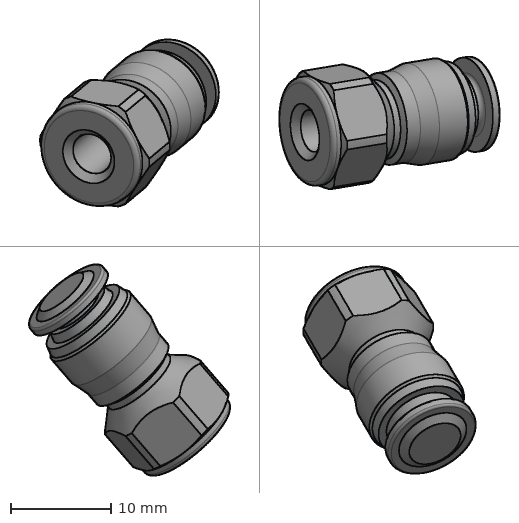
import cadquery as cq
import math

LENGTH = 20.4

ACROSS_FLATS = 11.0
FLAT_RADIUS = ACROSS_FLATS / 2
CORNER_RADIUS = 6.1
FLATS_UP_TURN = 30.0
COLLAR_LENGTH = 1.0
END_ROUND = 0.5
NUT_CHAMFER_ANGLE = 30.0
WAIST_START = 8.0
WAIST_RADIUS = 4.0
WAIST_END = 8.73

REAR_BAND_START = 9.1
REAR_BAND_END = 10.6
REAR_BAND_RADIUS = 4.65
BODY_START = 12.5
BODY_END = 15.79
BODY_RADIUS = 5.16
LIP_START = 16.05
LIP_START_RADIUS = 4.94
LIP_END = 17.0
LIP_END_RADIUS = 4.67
COLLET_SEAT_RADIUS = 3.81
COLLET_SEAT_END = 17.95
COLLET_SEAT_END_RADIUS = 3.53

BUTTON_NECK_RADIUS = 2.75
FLANGE_BACK = 18.93
FLANGE_FACE = 19.83
FLANGE_RADIUS = 4.77
FLANGE_ROUND = 0.25
NECK_FILLET = 0.49
NOSE_BASE_RADIUS = 3.67
NOSE_TIP_RADIUS = 2.8

BORE_MOUTH_RADIUS = 2.88
BORE_RADIUS = 2.12
BORE_CHAMFER_DEPTH = BORE_MOUTH_RADIUS - BORE_RADIUS
BORE_DEPTH = 8.0
PILOT_RADIUS = 1.5
PILOT_DEPTH = 10.0


def revolve_about_y(profile):
    return profile.close().revolve(360, (0, 0, 0), (0, 1, 0))


def make_turned_body():
    """Revolve the outside, with the nut still round at its corner radius."""
    corner_height = CORNER_RADIUS - FLAT_RADIUS
    chamfer_length = corner_height * math.tan(math.radians(NUT_CHAMFER_ANGLE))
    taper_start = WAIST_START - (CORNER_RADIUS - WAIST_RADIUS)
    round_middle = END_ROUND * (1 - math.sqrt(0.5))
    edge_middle = FLANGE_ROUND * (1 - math.sqrt(0.5))
    neck_middle = NECK_FILLET * (1 - math.sqrt(0.5))

    nut = (
        cq.Workplane("XY")
        .lineTo(FLAT_RADIUS - END_ROUND, 0)
        .threePointArc((FLAT_RADIUS - round_middle, round_middle), (FLAT_RADIUS, END_ROUND))
        .lineTo(FLAT_RADIUS, COLLAR_LENGTH)
        .lineTo(CORNER_RADIUS, COLLAR_LENGTH + chamfer_length)
        .lineTo(CORNER_RADIUS, taper_start)
        .lineTo(WAIST_RADIUS, WAIST_START)
        .lineTo(WAIST_RADIUS, WAIST_END)
    )
    sleeve = (
        nut.lineTo(REAR_BAND_RADIUS, REAR_BAND_START)
        .lineTo(REAR_BAND_RADIUS, REAR_BAND_END)
        .lineTo(BODY_RADIUS, BODY_START)
        .lineTo(BODY_RADIUS, BODY_END)
        .lineTo(LIP_START_RADIUS, LIP_START)
        .lineTo(LIP_END_RADIUS, LIP_END)
        .lineTo(COLLET_SEAT_RADIUS, LIP_END)
        .lineTo(COLLET_SEAT_END_RADIUS, COLLET_SEAT_END)
        .lineTo(BUTTON_NECK_RADIUS, COLLET_SEAT_END)
    )
    button = (
        sleeve.lineTo(BUTTON_NECK_RADIUS, FLANGE_BACK - NECK_FILLET)
        .threePointArc(
            (BUTTON_NECK_RADIUS + neck_middle, FLANGE_BACK - neck_middle),
            (BUTTON_NECK_RADIUS + NECK_FILLET, FLANGE_BACK),
        )
        .lineTo(FLANGE_RADIUS, FLANGE_BACK)
        .lineTo(FLANGE_RADIUS, FLANGE_FACE - FLANGE_ROUND)
        .threePointArc(
            (FLANGE_RADIUS - edge_middle, FLANGE_FACE - edge_middle),
            (FLANGE_RADIUS - FLANGE_ROUND, FLANGE_FACE),
        )
        .lineTo(NOSE_BASE_RADIUS, FLANGE_FACE)
        .lineTo(NOSE_TIP_RADIUS, LENGTH)
        .lineTo(0, LENGTH)
    )
    return revolve_about_y(button)


def make_hexagonal_bar():
    """Hexagonal bar along Y, with flats on top and bottom."""
    return (
        cq.Workplane("XZ")
        .polygon(6, ACROSS_FLATS, circumscribed=True)
        .extrude(-LENGTH)
        .rotate((0, 0, 0), (0, 1, 0), FLATS_UP_TURN)
    )


def make_bore():
    return revolve_about_y(
        cq.Workplane("XY")
        .lineTo(BORE_MOUTH_RADIUS, 0)
        .lineTo(BORE_RADIUS, BORE_CHAMFER_DEPTH)
        .lineTo(BORE_RADIUS, BORE_DEPTH)
        .lineTo(PILOT_RADIUS, BORE_DEPTH)
        .lineTo(PILOT_RADIUS, PILOT_DEPTH)
        .lineTo(0, PILOT_DEPTH)
    )


result = make_turned_body().intersect(make_hexagonal_bar()).cut(make_bore())